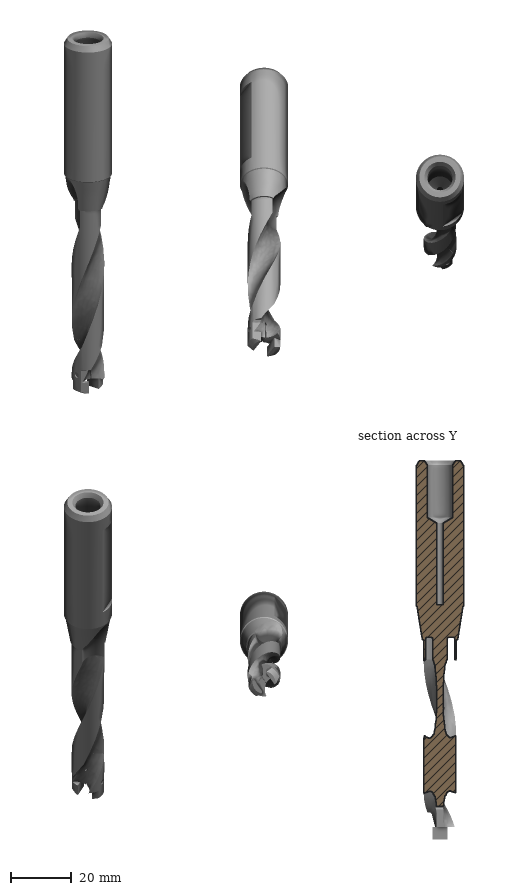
import cadquery as cq
import math

total_length = 124.7
shank_bottom = 76.8
neck_bottom = 65.6

shank_diameter = 15.8
shank_radius = shank_diameter / 2
shank_chamfer_width = 1.1
shank_chamfer_height = 1.9
clamping_flat_depth = 1.0
clamping_flat_bottom = 82.7
clamping_flat_top = 118.0

bore_radius = 4.1
bore_depth = 18.7
bore_tip_angle = 118.0
countersink_radius = 5.1
countersink_depth = 1.5
coolant_radius = 1.0
coolant_bottom = 77.3

neck_top_radius = 7.6
neck_bottom_radius = 5.9
neck_shoulder_height = 0.2
drill_radius = 5.4
tip_land_radius = 3.7
tip_bevel_height = 1.0

flute_count = 2
flute_lead = 88.5
tip_flute_lead = 56.1
web_half_thickness = 1.1
flute_half_angle = 49.0
tip_flute_half_angle = 48.0
flute_crossing_height = 46.6
tip_flute_top = 16.8
helix_top = 59.2
runout_bottom = 66.3
runout_angle = 36.0

slot_width = 5.0
slot_floor = 4.1
prong_half_length = 2.5
slit_width = 0.4
relief_hole_height = 10.5
relief_hole_radius = 0.5

bevel_edge = 1.4
bevel_top = 9.0
bevel_corner_chamfer = 0.5
bevel_angle = 60.0

screw_radius = 0.9
screw_offset = 0.4
screw_height = 6.6
screw_inner_end = 1.9
screw_outer_end = 4.9

cut_margin = 1.2
flute_spacing_angle = 360.0 / flute_count


def cylinder(radius, bottom, top):
    return cq.Workplane("XY").workplane(offset=bottom).circle(radius).extrude(top - bottom)


def block(x_range, y_range, z_range):
    size = [high - low for low, high in (x_range, y_range, z_range)]
    corner = (x_range[0], y_range[0], z_range[0])
    return cq.Workplane("XY").box(*size, centered=False).translate(corner)


def about_axis(shape, angle):
    return shape.rotate((0, 0, 0), (0, 0, 1), angle)


def revolved(points):
    return cq.Workplane("XZ").polyline(points).close().revolve(360, (0, 0, 0), (0, 1, 0))


def make_blank():
    return revolved([
        (0, 0),
        (tip_land_radius, 0),
        (drill_radius, tip_bevel_height),
        (drill_radius, neck_bottom),
        (neck_bottom_radius, neck_bottom),
        (neck_top_radius, shank_bottom - neck_shoulder_height),
        (shank_radius, shank_bottom),
        (shank_radius, total_length - shank_chamfer_height),
        (shank_radius - shank_chamfer_width, total_length),
        (0, total_length),
    ])


def make_coolant_inlet():
    bore_bottom = total_length - bore_depth
    cone_height = (bore_radius - coolant_radius) / math.tan(math.radians(bore_tip_angle / 2))
    return revolved([
        (0, total_length),
        (countersink_radius, total_length),
        (bore_radius, total_length - countersink_depth),
        (bore_radius, bore_bottom),
        (coolant_radius, bore_bottom - cone_height),
        (coolant_radius, coolant_bottom),
        (0, coolant_bottom),
    ])


def make_clamping_flat():
    flat_face = shank_radius - clamping_flat_depth
    return block(
        (-shank_radius, shank_radius),
        (flat_face, shank_radius + cut_margin),
        (clamping_flat_bottom, clamping_flat_top),
    )


def flute_angle(height):
    return 360.0 * (height - flute_crossing_height) / flute_lead


def flute_circle(edge_half_angle):
    """Center distance and radius of a circle through both land edges and tangent to the web."""
    edge_x = drill_radius * math.cos(math.radians(edge_half_angle))
    center = (drill_radius**2 - web_half_thickness**2) / (2 * (edge_x - web_half_thickness))
    return center, center - web_half_thickness


def make_helical_flute(edge_half_angle, lead, bottom, top):
    center, radius = flute_circle(edge_half_angle)
    length = top - bottom
    twist = 360.0 * length / lead
    helix = cq.Workplane("XY").pushPoints([(center, 0)]).circle(radius).twistExtrude(length, twist)
    return about_axis(helix.translate((0, 0, bottom)), flute_angle(top) - twist)


def make_flute_runout():
    """Straight end of the flute, which then climbs out of the neck toward +Y."""
    center, radius = flute_circle(flute_half_angle)
    angle = math.radians(flute_angle(helix_top))
    x, y = center * math.cos(angle), center * math.sin(angle)
    straight = cylinder(radius, helix_top, runout_bottom).translate((x, y, 0))
    rise = shank_bottom - runout_bottom
    drift = rise * math.tan(math.radians(runout_angle))
    climb = cq.Workplane("YZ", origin=(x, 0, 0)).moveTo(y, runout_bottom).lineTo(y + drift, shank_bottom)
    sloped = cq.Workplane("XY", origin=(x, y, runout_bottom)).circle(radius).sweep(climb)
    return [straight, sloped]


def make_flute():
    """Cutters of one flute, from the faster stretch at the tip up to the neck."""
    tip_flute = make_helical_flute(tip_flute_half_angle, tip_flute_lead, slot_floor, tip_flute_top)
    main_flute = make_helical_flute(flute_half_angle, flute_lead, tip_flute_top, helix_top)
    return [tip_flute, main_flute, *make_flute_runout()]


def cut_tip_slot(body):
    reach = drill_radius + cut_margin
    below_floor = (-cut_margin, slot_floor)
    body = body.cut(block((-reach, reach), (-slot_width / 2, slot_width / 2), below_floor))
    for x_range in ((-reach, -prong_half_length), (prong_half_length, reach)):
        body = body.cut(block(x_range, (-reach, reach), below_floor))
    slit = block((-reach, reach), (-slit_width / 2, slit_width / 2), (slot_floor, relief_hole_height))
    relief_hole = (
        cq.Workplane("YZ", origin=(-reach, 0, relief_hole_height))
        .circle(relief_hole_radius)
        .extrude(2 * reach)
    )
    return body.cut(slit).cut(relief_hole)


def make_prong_bevel():
    """Prism whose sloped side is a plane starting at a line on the outer surface."""
    x, y = bevel_edge, -math.sqrt(drill_radius**2 - bevel_edge**2)
    width = drill_radius
    rise = width * math.tan(math.radians(bevel_angle))
    prism = (
        cq.Workplane("XY", origin=(0, 0, -cut_margin))
        .polyline([(x, y), (x + width, y + rise), (x + width, y)])
        .close()
        .extrude(bevel_top + cut_margin)
    )
    return prism.edges(">Z").edges("<(1, -1, 0)").chamfer(bevel_corner_chamfer)


def make_screw(outer_end):
    return (
        cq.Workplane("XZ", origin=(-screw_offset, -screw_inner_end, screw_height))
        .circle(screw_radius)
        .extrude(outer_end - screw_inner_end)
    )


def make_body():
    body = make_blank()
    flute_cutters = make_flute()
    for index in range(flute_count):
        for cutter in flute_cutters:
            body = body.cut(about_axis(cutter, index * flute_spacing_angle))
    body = cut_tip_slot(body)
    for index in range(flute_count):
        for cutter in (make_prong_bevel(), make_screw(drill_radius + cut_margin)):
            body = body.cut(about_axis(cutter, index * flute_spacing_angle))
    return body.cut(make_coolant_inlet()).cut(make_clamping_flat())


drill_body = make_body()
set_screws = [about_axis(make_screw(screw_outer_end), i * flute_spacing_angle) for i in range(flute_count)]

result = cq.Compound.makeCompound([drill_body.val(), *[screw.val() for screw in set_screws]])